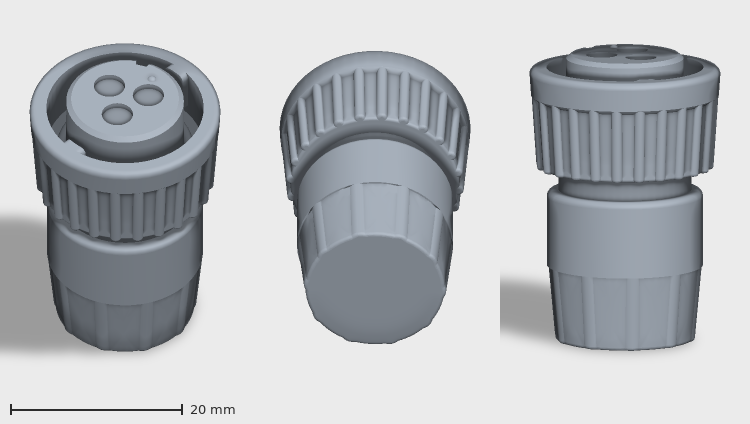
import cadquery as cq
import math

grip_height = 8.77
body_top = 17.7
coupling_bottom = 20.25
coupling_top = 32.15
insert_top = 33.7
overall_height = 33.98

grip_core_top_radius = 8.9
grip_core_bottom_radius = 8.07
grip_rib_count = 10
grip_rib_radius = 1.55
grip_rib_first_angle = 90.0
grip_edge_round = 0.4

body_radius = 9.09
body_edge_round = 0.75
neck_radius = 7.75

coupling_top_radius = 11.17
coupling_bottom_radius = 10.355
coupling_rim_round = 0.75
coupling_edge_round = 0.35
collar_bottom = 28.86
rib_root_depth = 0.55
collar_bevel_height = 0.45
coupling_rib_count = 24
coupling_rib_radius = 0.65
coupling_rib_first_angle = -92.4
rib_tip_inset = 0.02
rib_embed = 0.4

cavity_radius = 9.16
cavity_floor = 25.75
seal_outer_radius = 7.98
tab_inner_radius = 8.28
tab_width = 2.97
tab_edge_round = 0.75
tab_height = 5.0
tab_angles = (65.0, 245.0)

insert_radius = 6.85
insert_bevel_width = 0.57
insert_bevel_height = 0.47
socket_count = 3
socket_radius = 1.82
socket_circle_radius = 2.77
socket_first_angle = 30.0
socket_depth = 0.75
keyway_inner = 5.76
keyway_inner_half_width = 0.65
keyway_outer_half_width = 0.95
dot_x = 1.92
dot_y = 4.06
dot_radius = 0.5

seal_section_radius = (seal_outer_radius - insert_radius) / 2
seal_center_radius = (seal_outer_radius + insert_radius) / 2
coupling_slope = (coupling_top_radius - coupling_bottom_radius) / (coupling_top - coupling_bottom)


def coupling_radius(height):
    """Outside radius of the tapered coupling ring at a height."""
    return coupling_bottom_radius + coupling_slope * (height - coupling_bottom)


def disc(radius, bottom, top):
    """Upright cylinder on the main axis."""
    return cq.Workplane("XY").workplane(offset=bottom).circle(radius).extrude(top - bottom)


def turned(points):
    """Solid of revolution about Z from (radius, height) points."""
    return cq.Workplane("XZ").polyline(points).close().revolve(360, (0, 0), (0, 1))


def leaning_rib(radius, bottom_tip, top_tip, bottom, top):
    """Round rib leaning outward along +X, its crest joining the two tip radii, with level ends."""
    lean = math.atan2(top_tip - bottom_tip, top - bottom)
    axis_inset = radius / math.cos(lean)
    overrun = radius
    length = (top - bottom + 2 * overrun) / math.cos(lean)
    start_x = bottom_tip - axis_inset - overrun * math.tan(lean)
    start = cq.Vector(start_x, 0, bottom - overrun)
    direction = cq.Vector(math.sin(lean), 0, math.cos(lean))
    rod = cq.Workplane(cq.Solid.makeCylinder(radius, length, start, direction))
    return rod.intersect(disc(2 * top_tip, bottom, top))


def add_around(base, feature, count, first_angle):
    """Join evenly spaced copies of a feature around Z."""
    copies = []
    for index in range(count):
        angle = first_angle + index * 360.0 / count
        copies.append(feature.val().rotate(cq.Vector(0, 0, 0), cq.Vector(0, 0, 1), angle))
    return cq.Workplane(base.val().fuse(*copies))


def make_grip():
    core = turned([
        (0, 0),
        (grip_core_bottom_radius, 0),
        (grip_core_top_radius, grip_height),
        (0, grip_height),
    ])
    rib_rise = body_radius - grip_core_top_radius
    bottom_tip = grip_core_bottom_radius + rib_rise
    rib = leaning_rib(grip_rib_radius, bottom_tip, body_radius, 0, grip_height)
    grip = add_around(core, rib, grip_rib_count, grip_rib_first_angle)
    return grip.faces("<Z").edges().fillet(grip_edge_round)


def make_body():
    body = disc(body_radius, grip_height, body_top).faces(">Z").edges().fillet(body_edge_round)
    return body.union(disc(neck_radius, body_top, coupling_bottom))


def make_coupling():
    root_top = collar_bottom - collar_bevel_height
    core = turned([
        (0, coupling_bottom),
        (coupling_bottom_radius - rib_root_depth, coupling_bottom),
        (coupling_radius(root_top) - rib_root_depth, root_top),
        (coupling_radius(collar_bottom), collar_bottom),
        (coupling_top_radius, coupling_top),
        (0, coupling_top),
    ])
    core = core.faces(">Z").edges().fillet(coupling_rim_round)
    core = core.faces("<Z").edges().fillet(coupling_edge_round)
    rib_top = collar_bottom + rib_embed
    rib = leaning_rib(
        coupling_rib_radius,
        coupling_bottom_radius - rib_tip_inset,
        coupling_radius(rib_top) - rib_tip_inset,
        coupling_bottom,
        rib_top,
    )
    rib = rib.faces("<Z").edges().fillet(coupling_edge_round)
    coupling = add_around(core, rib, coupling_rib_count, coupling_rib_first_angle)
    return coupling.cut(disc(cavity_radius, cavity_floor, coupling_top))


def make_tab(angle):
    """Bayonet tab on the cavity wall, level with the rim, with rounded shoulders."""
    reach = (cavity_radius + coupling_radius(collar_bottom)) / 2
    tab = (
        cq.Workplane("XY", origin=(0, 0, coupling_top - tab_height))
        .center(reach / 2, 0)
        .rect(reach, tab_width)
        .extrude(tab_height)
        .faces(">Z").edges("|X").fillet(tab_edge_round)
        .cut(disc(tab_inner_radius, cavity_floor, coupling_top))
        .intersect(disc(cavity_radius, cavity_floor, coupling_top))
    )
    return tab.rotate((0, 0, 0), (0, 0, 1), angle)


def make_seal():
    ring = cq.Solid.makeTorus(seal_center_radius, seal_section_radius, cq.Vector(0, 0, cavity_floor))
    return cq.Workplane(ring)


def make_insert():
    insert = turned([
        (0, cavity_floor),
        (insert_radius, cavity_floor),
        (insert_radius, insert_top - insert_bevel_height),
        (insert_radius - insert_bevel_width, insert_top),
        (0, insert_top),
    ])
    sockets = (
        cq.Workplane("XY", origin=(0, 0, insert_top - socket_depth))
        .polarArray(socket_circle_radius, socket_first_angle, 360, socket_count)
        .circle(socket_radius)
        .extrude(socket_depth)
    )
    keyway = (
        cq.Workplane("XY", origin=(0, 0, cavity_floor))
        .polyline([
            (-keyway_inner_half_width, keyway_inner),
            (keyway_inner_half_width, keyway_inner),
            (keyway_outer_half_width, insert_radius),
            (-keyway_outer_half_width, insert_radius),
        ])
        .close()
        .extrude(insert_top - cavity_floor)
    )
    return insert.cut(sockets).cut(keyway).union(make_dot())


def make_dot():
    """Shallow domed index dot on the insert face."""
    dot_height = overall_height - insert_top
    sphere_radius = (dot_radius**2 + dot_height**2) / (2 * dot_height)
    sphere_center = (dot_x, dot_y, overall_height - sphere_radius)
    return cq.Workplane("XY", origin=sphere_center).sphere(sphere_radius)


result = make_grip().union(make_body()).union(make_coupling())
for tab_angle in tab_angles:
    result = result.union(make_tab(tab_angle))
result = result.union(make_insert()).union(make_seal())